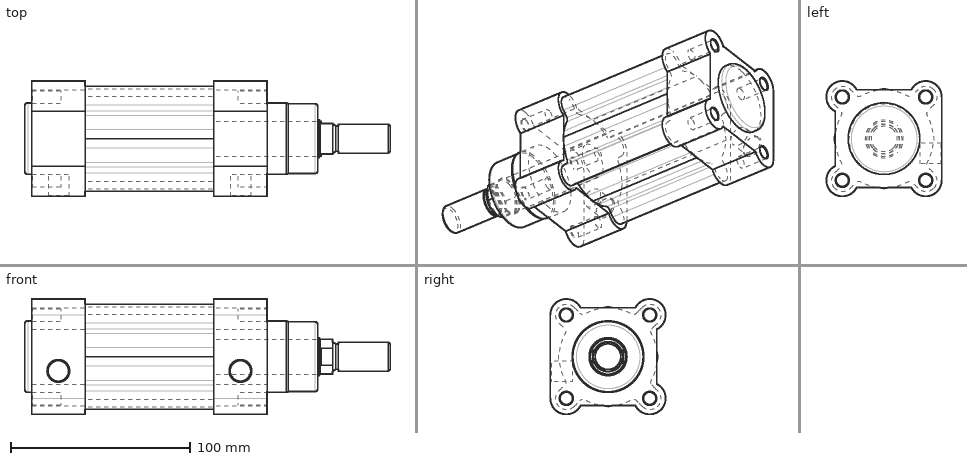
import cadquery as cq
import math

rear_boss_length = 3.9
cap_length = 29.8
tube_length = 71.9
front_boss_length = 11.8
front_boss_taper_length = 1.0
nose_length = 16.5
collar_length = 1.2
overall_length = 204.2

rear_cap_x = rear_boss_length
tube_x = rear_cap_x + cap_length
front_cap_x = tube_x + tube_length
front_boss_x = front_cap_x + cap_length
nose_x = front_boss_x + front_boss_length
collar_x = nose_x + nose_length
collar_end_x = collar_x + collar_length

lobe_offset = 23.3
lobe_radius = 9.0
cap_half_width = 27.4
port_face_offset = lobe_offset + lobe_radius
boss_radius = 20.0
boss_edge_radius = 1.6
screw_hole_diameter = 7.0
screw_hole_depth = 16.3
screw_hole_chamfer = 0.5
port_diameter = 11.5
port_chamfer = 0.6
port_depth = 12.3
port_z = -8.0

nose_radius = 19.6
nose_edge_radius = 1.8
collar_radius = 10.6
collar_rim_length = 0.6

barrel_radius = 27.4
ridge_half_width = 5.2
rail_radius = 6.1
rail_fillet = 2.0

rod_radius = 9.8
rod_shoulder_x = 172.0
flat_half_spacing = 8.5
flat_start_gap = 0.6
cone_radius = 8.4
cone_length = 1.8
neck_radius = 7.1
thread_x = 175.2
thread_radius = 8.2
thread_chamfer = 1.0

corners = [(y, z) for y in (-lobe_offset, lobe_offset) for z in (-lobe_offset, lobe_offset)]


def plane_at(x):
    """Section plane at axial position x: local axes are Y and Z, normal is +X."""
    return cq.Workplane("YZ", origin=(x, 0, 0))


def cylinder(x, length, radius):
    return plane_at(x).circle(radius).extrude(length)


def turn_profile(profile):
    """Solid of revolution about the X axis from (x, radius) points."""
    return cq.Workplane("XY").polyline(profile).close().revolve(360, (0, 0, 0), (1, 0, 0))


def make_cap(x, screw_face_x, screw_direction):
    """Square cap with four corner lobes, one flat port face and screw holes in its outer end."""
    cap = plane_at(x).rect(2 * cap_half_width, 2 * cap_half_width).extrude(cap_length)
    cap = cap.union(plane_at(x).pushPoints(corners).circle(lobe_radius).extrude(cap_length))

    port_wall = (
        cq.Workplane("XY")
        .box(cap_length, port_face_offset, 2 * lobe_offset, centered=(False, False, True))
        .translate((x, -port_face_offset, 0))
    )
    cap = cap.union(port_wall)

    for y, z in corners:
        cap = cap.cut(make_chamfered_hole(
            (screw_face_x, y, z), (screw_direction, 0, 0),
            screw_hole_diameter, screw_hole_depth, screw_hole_chamfer,
        ))
    port_mouth = (x + cap_length / 2, -port_face_offset, port_z)
    return cap.cut(make_chamfered_hole(port_mouth, (0, 1, 0), port_diameter, port_depth, port_chamfer))


def make_chamfered_hole(mouth, direction, diameter, depth, chamfer):
    """Cutter for a blind hole whose mouth has a 45 degree chamfer."""
    radius = diameter / 2
    bore = cq.Solid.makeCylinder(radius, depth, cq.Vector(mouth), cq.Vector(direction))
    mouth_cone = cq.Solid.makeCone(
        radius + chamfer, radius, chamfer, cq.Vector(mouth), cq.Vector(direction)
    )
    return cq.Workplane(bore.fuse(mouth_cone))


def make_rear_cap():
    boss = cylinder(0, rear_boss_length, boss_radius).faces("<X").edges().fillet(boss_edge_radius)
    return make_cap(rear_cap_x, rear_cap_x, 1).union(boss)


def make_collar():
    """Wiper collar: a short rim that tapers down to the rod surface."""
    profile = [
        (collar_x, 0),
        (collar_x, collar_radius),
        (collar_x + collar_rim_length, collar_radius),
        (collar_end_x, rod_radius),
        (collar_end_x, 0),
    ]
    return turn_profile(profile)


def make_front_cap():
    """Cap with a tapered boss, a rounded nose and a wiper collar, bored for the rod."""
    cap = make_cap(front_cap_x, front_boss_x, -1)
    taper_x = nose_x - front_boss_taper_length
    boss = turn_profile([
        (front_boss_x, 0),
        (front_boss_x, boss_radius),
        (taper_x, boss_radius),
        (nose_x, nose_radius),
        (nose_x, 0),
    ])
    nose = cylinder(nose_x, nose_length, nose_radius).faces(">X").edges().fillet(nose_edge_radius)
    collar = make_collar()
    rod_bore = cylinder(front_cap_x, collar_end_x - front_cap_x, rod_radius)
    return cap.union(boss).union(nose).union(collar).cut(rod_bore)


def make_tube():
    """Round barrel with a shallow ridge on each side and four rounded corner rails."""
    tube = cylinder(tube_x, tube_length, barrel_radius)
    rail_distance = math.hypot(lobe_offset, lobe_offset)
    web_root_distance = math.sqrt(barrel_radius**2 - rail_radius**2)

    for turn in (45, 135, 225, 315):
        section = plane_at(tube_x).transformed(rotate=(0, 0, turn))
        web = section.center(rail_distance / 2, 0).rect(rail_distance, 2 * rail_radius).extrude(tube_length)
        tip = section.center(rail_distance, 0).circle(rail_radius).extrude(tube_length)
        tube = tube.union(web).union(tip)

    root_zone = cq.selectors.BoxSelector(
        (tube_x, -web_root_distance, -web_root_distance),
        (front_cap_x, web_root_distance, web_root_distance),
    )
    tube = tube.edges("|X").edges(root_zone).fillet(rail_fillet)

    tangent_distance = math.sqrt(barrel_radius**2 - ridge_half_width**2)
    ridge_apex = barrel_radius**2 / tangent_distance
    for turn in (0, 90, 180, 270):
        ridge = (
            plane_at(tube_x)
            .transformed(rotate=(0, 0, turn))
            .polyline([
                (0, 0),
                (tangent_distance, -ridge_half_width),
                (ridge_apex, 0),
                (tangent_distance, ridge_half_width),
            ])
            .close()
            .extrude(tube_length)
        )
        tube = tube.union(ridge)
    return tube


def make_piston_rod():
    """Round rod with wrench flats, a relief neck and a plain threaded-size end."""
    profile = [
        (front_cap_x, 0),
        (front_cap_x, rod_radius),
        (rod_shoulder_x, rod_radius),
        (rod_shoulder_x, cone_radius),
        (rod_shoulder_x + cone_length, neck_radius),
        (thread_x, neck_radius),
        (thread_x, thread_radius),
        (overall_length - thread_chamfer, thread_radius),
        (overall_length, thread_radius - thread_chamfer),
        (overall_length, 0),
    ]
    rod = turn_profile(profile)

    flat_x = collar_end_x + flat_start_gap
    flat_length = rod_shoulder_x - flat_x
    flat_depth = rod_radius - flat_half_spacing
    flat_centre = flat_half_spacing + flat_depth / 2
    for side in (-1, 1):
        flat_cutter = cq.Workplane("XY").box(flat_length, flat_depth, 2 * rod_radius)
        rod = rod.cut(flat_cutter.translate((flat_x + flat_length / 2, side * flat_centre, 0)))
    return rod


rear_cap = make_rear_cap()
front_cap = make_front_cap()
tube = make_tube()
piston_rod = make_piston_rod()

result = cq.Compound.makeCompound([rear_cap.val(), tube.val(), front_cap.val(), piston_rod.val()])